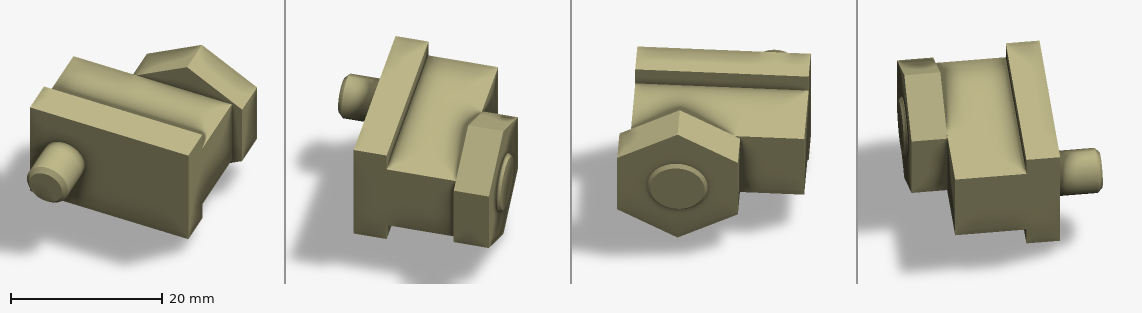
import cadquery as cq
import math

body_length = 23.0
plate_height = 15.0
plate_thickness = 4.5
neck_height = 10.0
neck_depth = 9.5

pin_diameter = 6.0
pin_length = 6.0
pin_tip_diameter = 4.773
pin_chamfer = (pin_diameter - pin_tip_diameter) / 2
pin_x = 5.0

nut_across_flats = 16.0
nut_thickness = 4.8
nut_x = 16.5

screw_diameter = 8.0
screw_protrusion = 0.5
screw_chamfer = 0.38

neck_start = plate_thickness
neck_end = neck_start + neck_depth
nut_end = neck_end + nut_thickness


def plane_at(x, y):
    """Plane through (x, y, 0) whose normal points to +Y, with local X along -Z."""
    return cq.Plane(origin=(x, y, 0), xDir=(0, 0, -1), normal=(0, 1, 0))


def block(height, start, depth):
    """Full-length block centred on Z = 0."""
    return (
        cq.Workplane("XY")
        .box(body_length, depth, height, centered=(False, False, True))
        .translate((0, start, 0))
    )


def make_pin():
    """Round pin with a chamfered free end."""
    return (
        cq.Workplane(plane_at(pin_x, -pin_length))
        .circle(pin_diameter / 2)
        .extrude(pin_length)
        .faces("<Y")
        .chamfer(pin_chamfer)
    )


def make_nut():
    """Hexagon with corners at the top and bottom."""
    across_corners = nut_across_flats / math.cos(math.pi / 6)
    return cq.Workplane(plane_at(nut_x, neck_end)).polygon(6, across_corners).extrude(nut_thickness)


def make_screw_end():
    """Short round stub with a chamfered rim."""
    return (
        cq.Workplane(plane_at(nut_x, nut_end))
        .circle(screw_diameter / 2)
        .extrude(screw_protrusion)
        .faces(">Y")
        .chamfer(screw_chamfer)
    )


plate = block(plate_height, 0, plate_thickness)
neck = block(neck_height, neck_start, neck_depth)

result = plate.union(neck).union(make_pin()).union(make_nut()).union(make_screw_end())